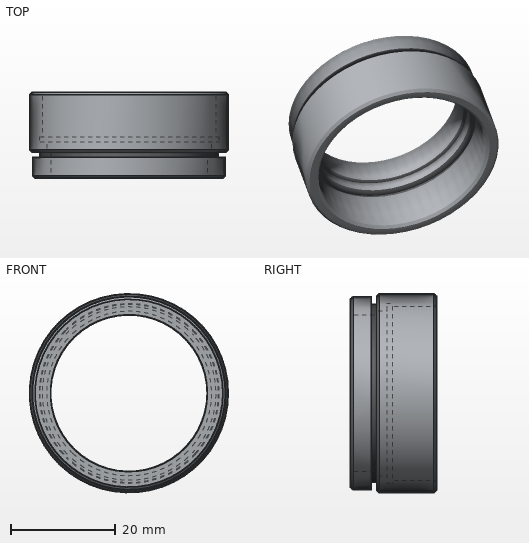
import cadquery as cq

length = 16.5
edge_chamfer = 0.5

front_band_diameter = 37.0
front_band_length = 4.0
outer_groove_diameter = 34.2
outer_groove_width = 1.0
main_diameter = 38.1

front_bore_diameter = 30.0
front_bore_length = 5.0
middle_bore_diameter = 31.6
middle_bore_length = 2.0
inner_groove_diameter = 34.5
inner_groove_width = 1.0
rear_bore_diameter = 33.3
rear_bore_chamfer = 0.5

front_y = -length / 2
rear_y = length / 2
outer_groove_start_y = front_y + front_band_length
main_start_y = outer_groove_start_y + outer_groove_width
middle_bore_start_y = front_y + front_bore_length
inner_groove_start_y = middle_bore_start_y + middle_bore_length
rear_bore_start_y = inner_groove_start_y + inner_groove_width


def cylinder(diameter, start_y, end_y):
    """Solid cylinder on the Y axis between two Y positions."""
    plane = cq.Workplane("XZ", origin=(0, start_y, 0))
    return plane.circle(diameter / 2).extrude(start_y - end_y)


def make_body():
    """Two chamfered bands joined by the floor of the outer groove."""
    front_band = cylinder(front_band_diameter, front_y, outer_groove_start_y)
    front_band = front_band.faces("<Y").edges().chamfer(edge_chamfer)
    groove_floor = cylinder(outer_groove_diameter, outer_groove_start_y, main_start_y)
    main_band = cylinder(main_diameter, main_start_y, rear_y)
    main_band = main_band.faces("<Y or >Y").edges().chamfer(edge_chamfer)
    return front_band.union(groove_floor).union(main_band)


def cut_interior(body):
    """Bore that widens in steps towards the rear, with a relief groove before the chamfered rear bore."""
    body = body.cut(cylinder(front_bore_diameter, front_y, middle_bore_start_y))
    body = body.cut(cylinder(middle_bore_diameter, middle_bore_start_y, inner_groove_start_y))
    body = body.cut(cylinder(inner_groove_diameter, inner_groove_start_y, rear_bore_start_y))
    body = body.cut(cylinder(rear_bore_diameter, rear_bore_start_y, rear_y))
    rear_bore_rim = cq.selectors.RadiusNthSelector(0)
    return body.faces(">Y").edges(rear_bore_rim).chamfer(rear_bore_chamfer)


result = cut_interior(make_body())